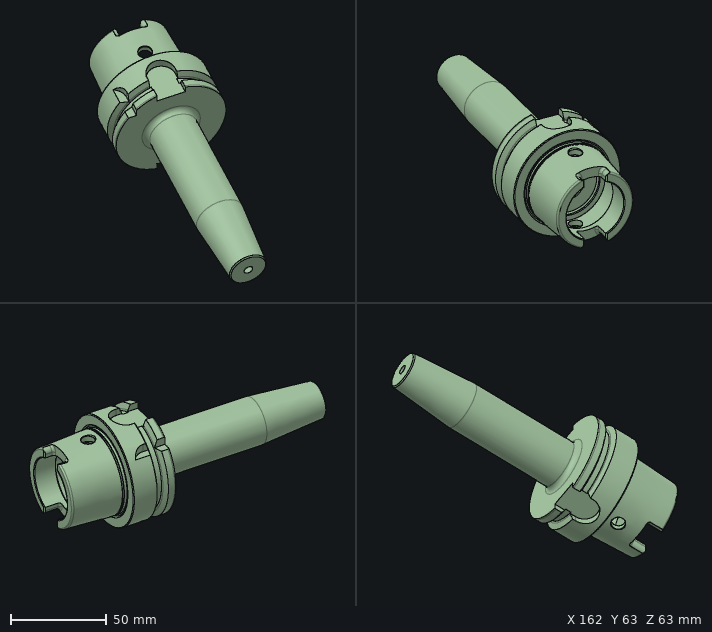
import cadquery as cq
import math


total_length = 162.0
taper_end = 29.8
flange_front = 32.0
flange_width = 26.0
flange_back = flange_front + flange_width
cone_start = 123.8

taper_large_radius = 48.1 / 2
taper_slope = 1 / 20
flange_radius = 63.0 / 2
shank_radius = 27.0 / 2
tip_half_angle = math.radians(4.5)
tip_radius = shank_radius - (total_length - cone_start) * math.tan(tip_half_angle)

taper_end_rounding = 1.0
flange_chamfer = 0.5
flange_back_chamfer = 0.8
flange_back_chamfer_depth = 0.2
shank_root_radius = 3.0
tip_chamfer = 0.6

neck_step = 0.2
neck_radius = 23.5
collar_start = 31.0
collar_radius = 24.0
face_relief_radius = 25.6
face_relief_depth = 0.5
face_relief_slant = 0.8

groove_center = 49.9
groove_root_radius = 27.4
groove_shoulder_radius = 28.4
groove_root_half_width = 1.6
groove_shoulder_half_width = 2.0
groove_mouth_half_width = 3.4

mouth_radius = 34.0 / 2
mouth_chamfer = 0.5
land_end = 13.0
chamber_radius = 40.0 / 2
chamber_ramp_angle = math.radians(60)
floor_bore_length = 1.1
floor_cone_length = 0.6
floor_radius = 31.9 / 2
cavity_depth = 29.5

tube_seat_radius = 16.8 / 2
tube_seat_depth = 6.5
coolant_cone_radius = 8.5 / 2
coolant_radius = 4.9 / 2

keyway_half_width = 6.3
keyway_top_depth = 6.0
keyway_bottom_depth = 9.9
keyway_floor_fillet = 1.5
keyway_lip_height = 20.7
keyway_lip_radius = 2.8
keyway_mouth_chamfer = 0.8

access_hole_diameter = 7.5
access_flare_diameter = 8.5
access_flare_depth = 1.0
access_hole_x = 22.8

slot_width = 16.0
slot_start = 36.6
slot_floor = 26.4
notch_wall = 19.8
notch_floor = 20.0


def turned_body():
    """Solid of revolution carrying every outer diameter."""
    taper_small_radius = taper_large_radius - taper_slope * (taper_end - taper_end_rounding)
    rounding_offset = taper_end_rounding * (1 - math.sqrt(0.5))
    relief_x = flange_front + face_relief_depth
    root_offset = shank_root_radius * (1 - math.sqrt(0.5))
    profile = (
        cq.Workplane("XY")
        .lineTo(0, taper_small_radius - taper_end_rounding)
        .threePointArc(
            (rounding_offset, taper_small_radius - rounding_offset),
            (taper_end_rounding, taper_small_radius),
        )
        .lineTo(taper_end, taper_large_radius)
        .lineTo(taper_end + neck_step, neck_radius)
        .lineTo(collar_start, neck_radius)
        .lineTo(collar_start, collar_radius)
        .lineTo(relief_x, collar_radius)
        .lineTo(relief_x, face_relief_radius - face_relief_slant)
        .lineTo(flange_front, face_relief_radius)
        .lineTo(flange_front, flange_radius - flange_chamfer)
        .lineTo(flange_front + flange_chamfer, flange_radius)
        .lineTo(groove_center - groove_mouth_half_width, flange_radius)
        .lineTo(groove_center - groove_shoulder_half_width, groove_shoulder_radius)
        .lineTo(groove_center - groove_root_half_width, groove_root_radius)
        .lineTo(groove_center + groove_root_half_width, groove_root_radius)
        .lineTo(groove_center + groove_shoulder_half_width, groove_shoulder_radius)
        .lineTo(groove_center + groove_mouth_half_width, flange_radius)
        .lineTo(flange_back - flange_back_chamfer, flange_radius)
        .lineTo(flange_back, flange_radius - flange_back_chamfer_depth)
        .lineTo(flange_back, shank_radius + shank_root_radius)
        .threePointArc(
            (flange_back + root_offset, shank_radius + root_offset),
            (flange_back + shank_root_radius, shank_radius),
        )
        .lineTo(cone_start, shank_radius)
        .lineTo(total_length - tip_chamfer, tip_radius + tip_chamfer * math.tan(tip_half_angle))
        .lineTo(total_length, tip_radius - tip_chamfer)
        .lineTo(total_length, 0)
        .close()
    )
    return profile.revolve(360, (0, 0, 0), (1, 0, 0))


def cavity():
    """Clamping cavity, coolant tube seat and through passage as one turned cutter."""
    ramp_length = (chamber_radius - mouth_radius) / math.tan(chamber_ramp_angle)
    chamber_end = cavity_depth - floor_cone_length - floor_bore_length
    seat_x = cavity_depth + tube_seat_depth
    coolant_x = seat_x + coolant_cone_radius - coolant_radius
    profile = (
        cq.Workplane("XY")
        .lineTo(0, mouth_radius + mouth_chamfer)
        .lineTo(mouth_chamfer, mouth_radius)
        .lineTo(land_end, mouth_radius)
        .lineTo(land_end + ramp_length, chamber_radius)
        .lineTo(chamber_end, chamber_radius)
        .lineTo(chamber_end, mouth_radius)
        .lineTo(cavity_depth - floor_cone_length, mouth_radius)
        .lineTo(cavity_depth, floor_radius)
        .lineTo(cavity_depth, tube_seat_radius)
        .lineTo(seat_x, tube_seat_radius)
        .lineTo(seat_x, coolant_cone_radius)
        .lineTo(coolant_x, coolant_radius)
        .lineTo(total_length, coolant_radius)
        .lineTo(total_length, 0)
        .close()
    )
    return profile.revolve(360, (0, 0, 0), (1, 0, 0))


def keyway(depth):
    """Drive keyway on the +Z side: rolled outer lips, filleted floor, chamfered mouth."""
    lip_start = keyway_lip_height - keyway_lip_radius
    lip_offset = keyway_lip_radius * (1 - math.sqrt(0.5))
    outer_half_width = keyway_half_width + keyway_lip_radius
    half_slot = (
        cq.Workplane("YZ")
        .lineTo(keyway_half_width, 0)
        .lineTo(keyway_half_width, lip_start)
        .threePointArc(
            (keyway_half_width + lip_offset, keyway_lip_height - lip_offset),
            (outer_half_width, keyway_lip_height),
        )
        .lineTo(outer_half_width, flange_radius)
        .lineTo(0, flange_radius)
        .close()
        .extrude(depth)
    )
    slot = half_slot.union(half_slot.mirror("XZ"))
    floor_edges = slot.faces(">X").edges("not <Z").edges("not >Z")
    slot = floor_edges.fillet(keyway_floor_fillet)
    mouth_width = 2 * (keyway_half_width + keyway_mouth_chamfer)
    mouth = (
        cq.Workplane("YZ")
        .rect(mouth_width, 2 * keyway_lip_height)
        .extrude(keyway_mouth_chamfer, taper=45)
    )
    upper_half = cq.Workplane("XY").rect(total_length, mouth_width).extrude(keyway_lip_height)
    mouth = mouth.intersect(upper_half)
    return slot.union(mouth)


def access_hole():
    """Radial hole along Z through both taper walls, slightly flared at each outer end."""
    bore = (
        cq.Workplane("XY")
        .center(access_hole_x, 0)
        .circle(access_hole_diameter / 2)
        .extrude(flange_radius, both=True)
    )
    flare = (
        cq.Workplane("XY", origin=(access_hole_x, 0, taper_large_radius - access_flare_depth))
        .circle(access_hole_diameter / 2)
        .workplane(offset=access_flare_depth)
        .circle(access_flare_diameter / 2)
        .loft()
    )
    return bore.union(flare).union(flare.mirror("XY"))


def flange_slot(center_y, floor_z):
    """Round-ended slot, open at the back of the flange and milled down to floor_z."""
    round_center_x = slot_start + slot_width / 2
    straight_length = flange_back - round_center_x
    floor_plane = cq.Workplane("XY", origin=(round_center_x, center_y, floor_z))
    round_end = floor_plane.circle(slot_width / 2).extrude(flange_radius)
    straight = (
        floor_plane
        .rect(straight_length, slot_width, centered=(False, True))
        .extrude(flange_radius)
    )
    return round_end.union(straight)


result = turned_body().cut(cavity())
result = result.cut(keyway(keyway_top_depth))
result = result.cut(keyway(keyway_bottom_depth).mirror("XY"))
result = result.cut(access_hole())

top_slot = flange_slot(0, slot_floor)
result = result.cut(top_slot).cut(top_slot.mirror("XY"))
result = result.cut(flange_slot(-notch_wall - slot_width / 2, notch_floor))